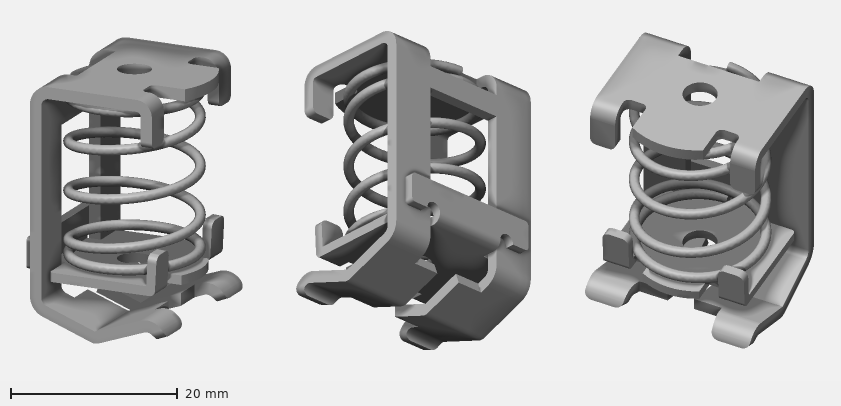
import cadquery as cq
import math


CLEARANCE = 0.3

HEIGHT = 31.45
WIDTH = 22.0
SHEET = 1.5
BEND_INNER = 1.0
BEND_OUTER = BEND_INNER + SHEET
TOP_Z = HEIGHT - SHEET

FOOT_ANGLE = 20.0
VEE_X = 8.65
CURL_X = 15.57
TOE_OUTER_ANGLE = 14.0
TOE_INNER_ANGLE = 2.0
TOE_CORNER = 1.05

WINDOW_HALF = 5.4
WINDOW_TOP = 24.97
WINDOW_FOOT_X = 2.77
SLOT_BOTTOM = 27.9
SLOT_END_X = 3.55
FOOT_GAP = 3.5
TOE_NOTCH_X = 14.0
TOE_NOTCH_HALF = 5.5
TOE_NOTCH_TAPER = 6.0

TAB_OUTER_X = 16.23
TAB_BEND_INNER = 0.5
TAB_BOTTOM = 25.4
TAB_INNER_Y = 7.67
TAB_CORNER = 0.82
NOTCH_X = 13.2
NOTCH_CORNER = 0.75
TONGUE_HALF = 4.72
TONGUE_TIP_X = 18.87
TONGUE_RADIUS = 9.45

AXIS_X = VEE_X
HOLE_DIAMETER = 4.2
WIRE_DIAMETER = 1.3
WIRE_OVERLAP = 0.03
COIL_RADIUS = 7.93
END_PITCH = 1.32
ACTIVE_PITCH = 6.2
ACTIVE_TURNS = 3

SEAT_THICKNESS = 1.2
SEAT_BOTTOM = 6.42
SEAT_TOP = SEAT_BOTTOM + SEAT_THICKNESS
SEAT_HALF = 9.45
SEAT_SHOULDER_X = 1.82
SEAT_CORNER = 0.5
SEAT_WALL_TOP = 11.57
FLANGE_HALF = 9.5
FLANGE_CORNER = 0.5
RELIEF_RADIUS = 1.05
NECK_HALF = 4.95
SEAT_TAB_X = 15.9
SEAT_TAB_TILT = 3.0
SEAT_TAB_BEND = 0.75
SEAT_TAB_INNER_Y = 5.98
SEAT_TAB_CORNER = 0.95
SEAT_NOTCH_X = 13.85
SEAT_TONGUE_HALF = 3.77
SEAT_TONGUE_TIP_X = 17.6
SEAT_TONGUE_RADIUS = TONGUE_RADIUS - TONGUE_TIP_X + SEAT_TONGUE_TIP_X


def block(x_range, y_range, z_range):
    """Axis-aligned box between the given limits."""
    limits = (x_range, y_range, z_range)
    sizes = [high - low for low, high in limits]
    corner = tuple(low for low, high in limits)
    return cq.Workplane("XY").box(*sizes, centered=False).translate(corner)


def polar(center, radius, degrees):
    """Point at the given radius and angle around a centre."""
    angle = math.radians(degrees)
    return (center[0] + radius * math.cos(angle), center[1] + radius * math.sin(angle))


def both_sides(body):
    """The body together with its mirror image across Y = 0."""
    return body.union(body.mirror("XZ"))


def extrude_y(profile, y_low, y_high):
    """Extrude a closed XZ profile between two Y positions."""
    return profile.extrude(y_low - y_high).translate((0, y_low, 0))


def rounded_tongue(x_start, tip_x, half_width, radius, z_low, z_high):
    """Flat tongue pointing to +X with an arc-shaped tip."""
    disc = cq.Workplane("XY", origin=(tip_x - radius, 0, z_low)).circle(radius).extrude(z_high - z_low)
    return block((x_start, tip_x), (-half_width, half_width), (z_low, z_high)).intersect(disc)


def frame_strip():
    """Top sheet, leg, V-shaped foot and curled toe as one bent strip, and the XZ middle of the toe end."""
    slope = math.tan(math.radians(FOOT_ANGLE))
    vee = (VEE_X, SHEET)
    heel_end = 270 - FOOT_ANGLE
    curl_start = 90 + FOOT_ANGLE
    top_bend = (BEND_OUTER, HEIGHT - BEND_OUTER)

    heel_x, heel_drop = polar((BEND_OUTER, 0), BEND_INNER, heel_end)
    heel = (BEND_OUTER, SHEET + (VEE_X - heel_x) * slope - heel_drop)
    curl_x, curl_rise = polar((CURL_X, 0), BEND_OUTER, curl_start)
    curl = (CURL_X, SHEET + (curl_x - VEE_X) * slope - curl_rise)
    heel_middle = (180 + heel_end) / 2
    curl_middle = (curl_start + TOE_OUTER_ANGLE) / 2
    flat_end = TAB_OUTER_X - TAB_BEND_INNER - SHEET

    profile = (
        cq.Workplane("XZ")
        .moveTo(flat_end, HEIGHT)
        .lineTo(BEND_OUTER, HEIGHT)
        .threePointArc(polar(top_bend, BEND_OUTER, 135), polar(top_bend, BEND_OUTER, 180))
        .lineTo(*polar(heel, BEND_OUTER, 180))
        .threePointArc(polar(heel, BEND_OUTER, heel_middle), polar(heel, BEND_OUTER, heel_end))
        .lineTo(*polar(vee, SHEET, 270 - FOOT_ANGLE))
        .threePointArc(polar(vee, SHEET, 270), polar(vee, SHEET, 270 + FOOT_ANGLE))
        .lineTo(*polar(curl, BEND_INNER, curl_start))
        .threePointArc(polar(curl, BEND_INNER, curl_middle), polar(curl, BEND_INNER, TOE_INNER_ANGLE))
        .lineTo(*polar(curl, BEND_OUTER, TOE_OUTER_ANGLE))
        .threePointArc(polar(curl, BEND_OUTER, curl_middle), polar(curl, BEND_OUTER, curl_start))
        .lineTo(*vee)
        .lineTo(*polar(heel, BEND_INNER, heel_end))
        .threePointArc(polar(heel, BEND_INNER, heel_middle), polar(heel, BEND_INNER, 180))
        .lineTo(*polar(top_bend, BEND_INNER, 180))
        .threePointArc(polar(top_bend, BEND_INNER, 135), polar(top_bend, BEND_INNER, 90))
        .lineTo(flat_end, TOP_Z)
        .close()
    )
    strip = extrude_y(profile, -WIDTH / 2, WIDTH / 2)

    inner_x, inner_z = polar(curl, BEND_INNER, TOE_INNER_ANGLE)
    outer_x, outer_z = polar(curl, BEND_OUTER, TOE_OUTER_ANGLE)
    toe_end = ((inner_x + outer_x) / 2, (inner_z + outer_z) / 2)
    return cut_frame_openings(strip), toe_end


def cut_frame_openings(strip):
    """Window through the leg and heel, gap along the foot, notch between the toes and slot in the top bend."""
    window_y = (-WINDOW_HALF, WINDOW_HALF)
    window = block((-CLEARANCE, SHEET + BEND_INNER), window_y, (0, WINDOW_TOP))
    heel_opening = (
        block((-HEIGHT, 0), window_y, (-SHEET, 3 * SHEET))
        .rotate((0, 0, 0), (0, 1, 0), FOOT_ANGLE)
        .translate((WINDOW_FOOT_X, 0, (VEE_X - WINDOW_FOOT_X) * math.tan(math.radians(FOOT_ANGLE))))
        .intersect(block((-CLEARANCE, VEE_X), window_y, (0, WINDOW_TOP)))
    )
    gap = block((0, HEIGHT), (-FOOT_GAP / 2, FOOT_GAP / 2), (-CLEARANCE, SEAT_BOTTOM))
    notch_length = HEIGHT - TOE_NOTCH_X
    notch_flare = TOE_NOTCH_HALF + notch_length * math.tan(math.radians(TOE_NOTCH_TAPER))
    notch = (
        cq.Workplane("XY")
        .polyline(
            [
                (TOE_NOTCH_X, -TOE_NOTCH_HALF),
                (HEIGHT, -notch_flare),
                (HEIGHT, notch_flare),
                (TOE_NOTCH_X, TOE_NOTCH_HALF),
            ]
        )
        .close()
        .extrude(SEAT_BOTTOM)
    )
    slot = block((-CLEARANCE, SLOT_END_X), window_y, (SLOT_BOTTOM, HEIGHT + CLEARANCE))
    return strip.cut(window).cut(heel_opening).cut(gap).cut(notch).cut(slot)


def round_toe(strip, toe_end):
    """Round the four corners at the end of the curled toe."""
    reach = SHEET / 4
    x, z = toe_end
    picker = cq.selectors.BoxSelector((x - reach, -WIDTH, z - reach), (x + reach, WIDTH, z + reach))
    return strip.edges(picker).fillet(TOE_CORNER)


def top_tab():
    """Tab bent down from the front edge of the top sheet, on the +Y side."""
    bend_outer = TAB_BEND_INNER + SHEET
    bend = (TAB_OUTER_X - bend_outer, HEIGHT - bend_outer)
    profile = (
        cq.Workplane("XZ")
        .moveTo(bend[0], HEIGHT)
        .threePointArc(polar(bend, bend_outer, 45), polar(bend, bend_outer, 0))
        .lineTo(TAB_OUTER_X, TAB_BOTTOM)
        .lineTo(TAB_OUTER_X - SHEET, TAB_BOTTOM)
        .lineTo(*polar(bend, TAB_BEND_INNER, 0))
        .threePointArc(polar(bend, TAB_BEND_INNER, 45), polar(bend, TAB_BEND_INNER, 90))
        .close()
    )
    tab = extrude_y(profile, TAB_INNER_Y, WIDTH / 2)
    return tab.faces("<Z").edges("|X").fillet(TAB_CORNER)


def frame():
    """Bent strip with its front tabs, tongue and the notches between them."""
    strip, toe_end = frame_strip()
    body = round_toe(strip, toe_end).union(both_sides(top_tab()))
    body = body.union(
        rounded_tongue(NOTCH_X, TONGUE_TIP_X, TONGUE_HALF, TONGUE_RADIUS, TOP_Z, HEIGHT)
    )
    notch_z = (TOP_Z - CLEARANCE, HEIGHT + CLEARANCE)
    notch = block((NOTCH_X, TONGUE_TIP_X), (TONGUE_HALF, TAB_INNER_Y), notch_z)
    notch = notch.edges("|Z and <X").fillet(NOTCH_CORNER)
    return body.cut(both_sides(notch))


def seat_flange():
    """Upright flange behind the leg, with a relief beside each end of the bend."""
    flange = block((-SEAT_THICKNESS, 0), (-FLANGE_HALF, FLANGE_HALF), (SEAT_TOP, SEAT_WALL_TOP))
    flange = flange.edges("|X").fillet(FLANGE_CORNER)
    bend = (
        cq.Workplane("XZ", origin=(0, NECK_HALF, SEAT_TOP))
        .circle(SEAT_THICKNESS)
        .extrude(2 * NECK_HALF)
        .intersect(block((-SEAT_THICKNESS, 0), (-NECK_HALF, NECK_HALF), (SEAT_BOTTOM, SEAT_TOP)))
    )
    relief = (
        cq.Workplane("YZ", origin=(-SEAT_THICKNESS, 0, 0))
        .pushPoints([(side * (NECK_HALF + RELIEF_RADIUS), SEAT_TOP) for side in (-1, 1)])
        .circle(RELIEF_RADIUS)
        .extrude(SEAT_THICKNESS)
    )
    return flange.cut(relief).union(bend)


def seat_tab():
    """Slightly outward-leaning tab at the front of the seat, on the +Y side."""
    tab = block(
        (SEAT_TAB_X - SEAT_THICKNESS, SEAT_TAB_X), (SEAT_TAB_INNER_Y, SEAT_HALF), (0, SEAT_WALL_TOP)
    )
    tab = tab.faces(">Z").edges("|X").fillet(SEAT_TAB_CORNER)
    pivot = (SEAT_TAB_X - SEAT_THICKNESS, 0, SEAT_TOP)
    tab = tab.rotate(pivot, (pivot[0], 1, pivot[2]), SEAT_TAB_TILT)
    tab = tab.intersect(block((0, HEIGHT), (0, WIDTH), (SEAT_BOTTOM, HEIGHT)))
    return tab.edges("|Y").edges("<Z").edges(">X").fillet(SEAT_TAB_BEND)


def spring_seat():
    """Plate under the spring with its neck, tongue, front tabs and rear flange."""
    z_range = (SEAT_BOTTOM, SEAT_TOP)
    front_x = SEAT_TAB_X - SEAT_THICKNESS
    plate = block((SEAT_SHOULDER_X, front_x), (-SEAT_HALF, SEAT_HALF), z_range)
    plate = plate.edges("|Z and <X").fillet(SEAT_CORNER)
    plate = plate.union(block((0, SEAT_NOTCH_X), (-NECK_HALF, NECK_HALF), z_range))
    notch = block((SEAT_NOTCH_X, HEIGHT), (SEAT_TONGUE_HALF, SEAT_TAB_INNER_Y), z_range)
    plate = plate.cut(both_sides(notch))
    tongue = rounded_tongue(
        SEAT_NOTCH_X, SEAT_TONGUE_TIP_X, SEAT_TONGUE_HALF, SEAT_TONGUE_RADIUS, *z_range
    )
    return plate.union(tongue).union(both_sides(seat_tab())).union(seat_flange())


def coil(start_z, pitch, turns):
    """Helical wire that starts on the -X side of the spring axis and climbs counterclockwise."""
    path = cq.Wire.makeHelix(pitch, pitch * turns, COIL_RADIUS)
    wire = cq.Workplane("XZ", origin=(COIL_RADIUS, 0, 0)).circle(WIRE_DIAMETER / 2).sweep(path, isFrenet=True)
    return wire.rotate((0, 0, 0), (0, 0, 1), 180).translate((AXIS_X, 0, start_z))


def spring():
    """Compression spring with one closed turn at each end."""
    bottom = SEAT_TOP + WIRE_DIAMETER / 2 - WIRE_OVERLAP
    active_start = bottom + END_PITCH
    active_end = active_start + ACTIVE_TURNS * ACTIVE_PITCH
    body = coil(bottom, END_PITCH, 1)
    body = body.union(coil(active_start, ACTIVE_PITCH, ACTIVE_TURNS))
    return body.union(coil(active_end, END_PITCH, 1))


axis_hole = cq.Workplane("XY", origin=(AXIS_X, 0, SEAT_BOTTOM)).circle(HOLE_DIAMETER / 2).extrude(HEIGHT)
result = frame().union(spring_seat()).cut(axis_hole).union(spring())